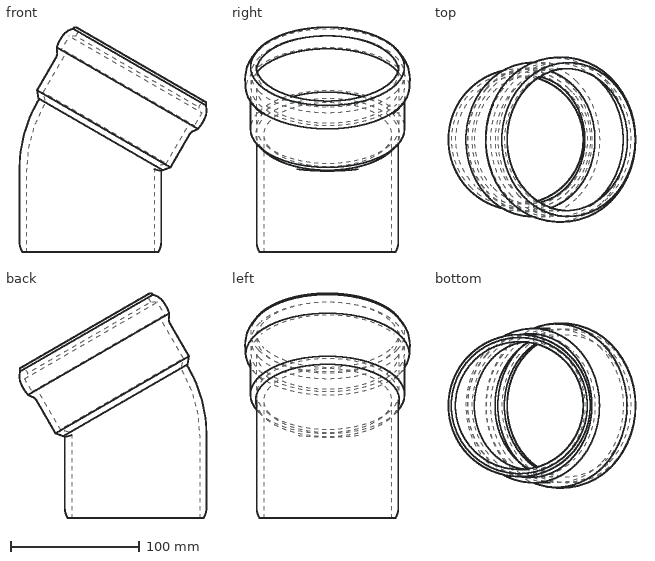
import cadquery as cq
import math

pipe_diameter = 110.8
pipe_radius = pipe_diameter / 2
bore_radius = 49.9
spigot_length = 64.6
bend_angle = 30
bend_radius = 50.0

nose_height = 6.8
nose_inset = 2.3
nose_bulge = 0.7

socket_length = 65.5
neck_length = 1.5
neck_blend_radius = 56.2
neck_blend_end = 2.6
shoulder_length = 6.0
socket_radius = 60.2
socket_bore_radius = 55.5
bore_cone_start = 2.6
bore_cone_length = 6.0

rim_roundness = 2.3
rim_edge_radius = socket_bore_radius + 2 * rim_roundness
rim_step_radius = 62.2
rim_step_depth = 5.0
collar_edge_radius = 63.7
collar_top_depth = 8.3
collar_radius = 64.5
collar_bottom_depth = 21.2
collar_middle_depth = (collar_top_depth + collar_bottom_depth) / 2
collar_foot_radius = 61.8
collar_foot_depth = 24.2
socket_top_depth = 28.1

groove_radius = 59.9
groove_top_depth = 6.1
groove_ramp = 2.6
groove_ledge_depth = 20.4
groove_lip_round = 0.7


def revolve_profile(profile):
    """Turn a closed radius-height profile about the Z axis."""
    return profile.close().revolve(360, (0, 0, 0), (0, 1, 0))


def sweep_bend(radius):
    """Sweep a disc round the bend, leaving out any part beyond the bend axis."""
    if radius < bend_radius:
        section = cq.Workplane("XY").circle(radius)
    else:
        half_chord = math.sqrt(radius**2 - bend_radius**2)
        section = (
            cq.Workplane("XY")
            .moveTo(bend_radius, half_chord)
            .threePointArc((-radius, 0), (bend_radius, -half_chord))
            .close()
        )
    bend = section.revolve(bend_angle, (bend_radius, 0, 0), (bend_radius, 1, 0))
    return bend.translate((0, 0, spigot_length))


def place_on_bend(body):
    """Move a body from the origin to the tilted end of the bend."""
    tilted = body.translate((-bend_radius, 0, 0)).rotate((0, 0, 0), (0, 1, 0), bend_angle)
    return tilted.translate((bend_radius, 0, spigot_length))


def spigot_body():
    return revolve_profile(
        cq.Workplane("XZ")
        .lineTo(pipe_radius - nose_inset, 0)
        .threePointArc(
            (pipe_radius - nose_bulge, nose_height / 2),
            (pipe_radius, nose_height),
        )
        .lineTo(pipe_radius, spigot_length)
        .lineTo(0, spigot_length)
    )


def socket_body():
    return revolve_profile(
        cq.Workplane("XZ")
        .lineTo(pipe_radius, 0)
        .lineTo(pipe_radius, neck_length)
        .tangentArcPoint((neck_blend_radius, neck_blend_end), relative=False)
        .lineTo(socket_radius, neck_length + shoulder_length)
        .lineTo(socket_radius, socket_length - socket_top_depth)
        .tangentArcPoint((collar_foot_radius, socket_length - collar_foot_depth), relative=False)
        .lineTo(collar_edge_radius, socket_length - collar_bottom_depth)
        .threePointArc(
            (collar_radius, socket_length - collar_middle_depth),
            (collar_edge_radius, socket_length - collar_top_depth),
        )
        .lineTo(rim_step_radius, socket_length - rim_step_depth)
        .lineTo(rim_edge_radius, socket_length - rim_roundness)
        .threePointArc(
            (socket_bore_radius + rim_roundness, socket_length),
            (socket_bore_radius, socket_length - rim_roundness),
        )
        .lineTo(0, socket_length - rim_roundness)
    )


def socket_cavity():
    return revolve_profile(
        cq.Workplane("XZ")
        .lineTo(bore_radius, 0)
        .lineTo(bore_radius, bore_cone_start)
        .lineTo(socket_bore_radius, bore_cone_start + bore_cone_length)
        .lineTo(socket_bore_radius, socket_length - groove_ledge_depth - groove_lip_round)
        .tangentArcPoint((groove_lip_round, groove_lip_round))
        .lineTo(groove_radius, socket_length - groove_ledge_depth)
        .lineTo(groove_radius, socket_length - groove_top_depth - groove_ramp)
        .lineTo(socket_bore_radius, socket_length - groove_top_depth)
        .lineTo(socket_bore_radius, socket_length)
        .lineTo(0, socket_length)
    )


outside = spigot_body().union(sweep_bend(pipe_radius)).union(place_on_bend(socket_body()))
spigot_bore = cq.Workplane("XY").circle(bore_radius).extrude(spigot_length)
result = (
    outside.cut(spigot_bore)
    .cut(sweep_bend(bore_radius))
    .cut(place_on_bend(socket_cavity()))
)